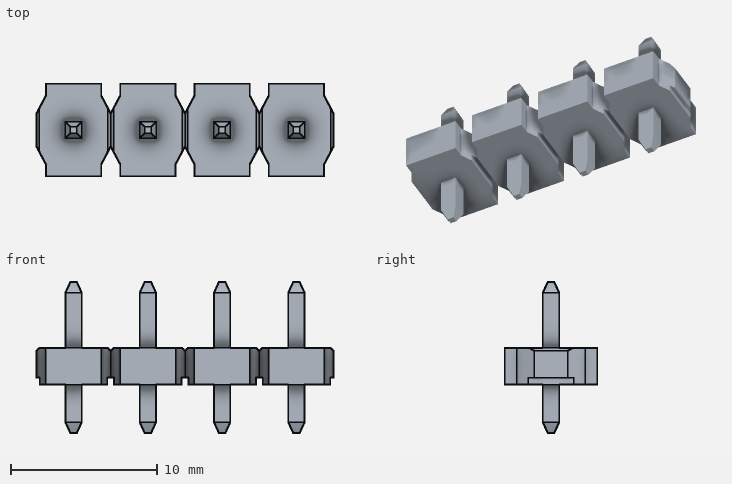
import cadquery as cq

pin_count = 4
pitch = 5.08

housing_depth = 6.35
housing_height = 2.52
face_width = 3.8
waist_depth = 4.7
joint_depth = 2.28
top_chamfer = 0.2
foot_inset = 0.22
foot_height = 0.49

pin_width = 1.14
pin_tip_width = 0.45
pin_taper = 0.75
pin_above = 4.51
pin_below = 3.31


def cell_plan():
    """Solid with the plan outline of one cell, both sides bulging to the joint flats."""
    right_side = [
        (face_width / 2, -housing_depth / 2),
        (face_width / 2, -waist_depth / 2),
        (pitch / 2, -joint_depth / 2),
        (pitch / 2, joint_depth / 2),
        (face_width / 2, waist_depth / 2),
        (face_width / 2, housing_depth / 2),
    ]
    left_side = [(-x, y) for x, y in reversed(right_side)]
    return cq.Workplane("XY").polyline(right_side + left_side).close().extrude(housing_height)


def cell_profile():
    """Solid with the XZ outline of one cell: chamfered top and stepped foot."""
    foot_x = pitch / 2 - foot_inset
    right_side = [
        (foot_x, 0),
        (foot_x, foot_height),
        (pitch / 2, foot_height),
        (pitch / 2, housing_height - top_chamfer),
        (pitch / 2 - top_chamfer, housing_height),
    ]
    left_side = [(-x, z) for x, z in reversed(right_side)]
    outline = cq.Workplane("XZ").polyline(right_side + left_side).close()
    return outline.extrude(housing_depth / 2, both=True)


def tapered_pin():
    """Square pin running through the housing, tapering to a flat tip at each end."""
    shaft_bottom = pin_taper - pin_below
    shaft_top = housing_height + pin_above - pin_taper
    shaft = (
        cq.Workplane("XY", origin=(0, 0, shaft_bottom))
        .rect(pin_width, pin_width)
        .extrude(shaft_top - shaft_bottom)
    )
    for base_z, taper in ((shaft_top, pin_taper), (shaft_bottom, -pin_taper)):
        tip = (
            cq.Workplane("XY", origin=(0, 0, base_z))
            .rect(pin_width, pin_width)
            .workplane(offset=taper)
            .rect(pin_tip_width, pin_tip_width)
            .loft(ruled=True)
        )
        shaft = shaft.union(tip)
    return shaft


cell = cell_plan().intersect(cell_profile()).union(tapered_pin())

result = cell
for index in range(1, pin_count):
    result = result.union(cell.translate((index * pitch, 0, 0)))

result = result.translate((-(pin_count - 1) * pitch / 2, 0, 0))